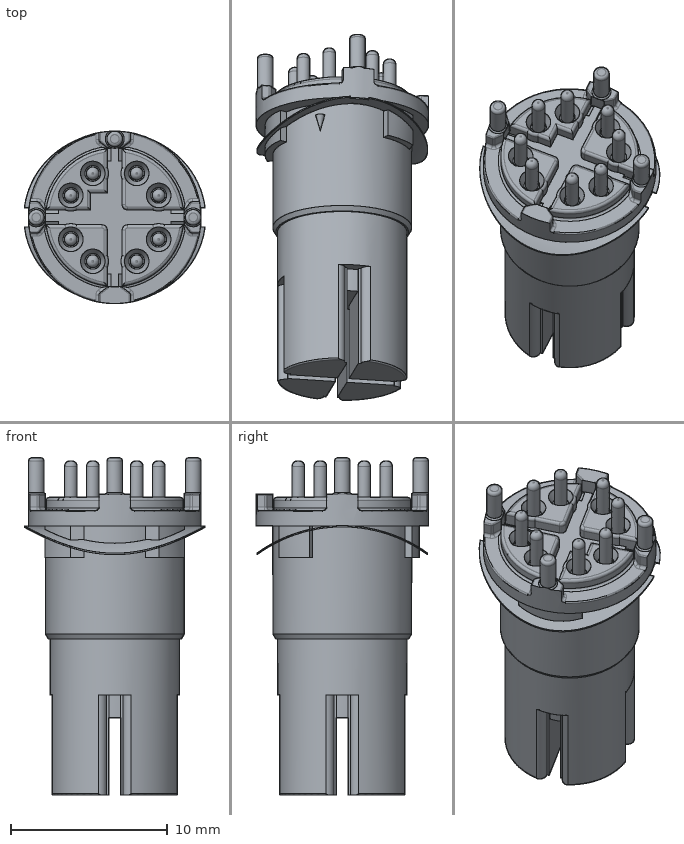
import cadquery as cq
import math

QUARTER_TURNS = (0, 90, 180, 270)
CODED_QUADRANT_ANGLE = 90

TOTAL_HEIGHT = 21.5
PIN_TIP_Z = 4.35
BOTTOM_Z = PIN_TIP_Z - TOTAL_HEIGHT

FLANGE_RADIUS = 5.5
FLANGE_THICKNESS = 1.0
FLANGE_EDGE_ROUND = 0.08
BOSS_RADIUS = 4.4
BOSS_TOP_Z = 1.83
BOSS_EDGE_ROUND = 0.2
BOSS_BASE_FILLET = 0.15

CHANNEL_HALF_WIDTH = 0.47
CHANNEL_CORNER_RADIUS = 0.35
CODING_NOTCH_REACH = 1.55
DRAIN_START_RADIUS = 3.6
DRAIN_INNER_OFFSET = 0.25
DRAIN_DEPTH = 0.18

CONTACT_NEAR = 1.4
CONTACT_FAR = 2.8
CONTACT_RADIUS = 0.41
CONTACT_TOP_Z = 4.15
CONTACT_ROUND = 0.36
RECESS_TOP_RADIUS = 0.78
RECESS_BOTTOM_RADIUS = 0.5
RECESS_DEPTH = 0.6
SLEEVE_RADIUS = 1.0

TAB_TOP_Z = 2.03
TAB_HALF_WIDTH = 1.0
TAB_NOSE_HALF_WIDTH = 0.45
TAB_NOSE_Y = 4.43
TAB_SHOULDER_Y = 4.85
TAB_BASE_FILLET = 0.2
TAB_SHOULDER_ROUND = 0.2
TAB_TOP_ROUND = 0.08
EDGE_MARGIN = 0.05
SOLDER_PIN_ANGLES = (0, 90, 180)
SOLDER_PIN_RADIUS = 0.5
SOLDER_PIN_OFFSET = FLANGE_RADIUS - SOLDER_PIN_RADIUS
SOLDER_PIN_ROUND = 0.22
SOLDER_COLLAR_RADIUS = 0.6
SOLDER_COLLAR_HEIGHT = 0.1

BODY_RADIUS = 4.43
BODY_CHAMFER_TOP_Z = -6.9
BODY_BOTTOM_Z = -7.21
BODY_CHAMFER_BOTTOM_RADIUS = 4.24
PLUG_RADIUS = 4.13
PLUG_EDGE_ROUND = 0.1

SLOT_TOP_Z = -10.77
CORE_BOTTOM_Z = -12.23
CORE_RADIUS = 3.25
SLOT_HALF_WIDTH = 0.37
SLOT_MOUTH_HALF_WIDTH = 1.05
SLOT_MOUTH_ROUND = 0.53

BLOCK_RADIUS = 4.92
BLOCK_HEIGHT = 2.02
BACK_BLOCK_HALF_ANGLE = 25.5
SIDE_BLOCK_START_ANGLE = 205.3
SIDE_BLOCK_FACE_INNER = (-1.97, -3.97)
SIDE_BLOCK_FACE_OUTER = (-2.83, -4.02)

WASHER_OUTER_RADIUS = 5.8
WASHER_HOLE_RADIUS = 4.5
WASHER_BEND_RADIUS = 9.3
WASHER_THICKNESS = 0.08
WASHER_OVERLAP = 0.02
WASHER_NOTCH_HALF_WIDTH = 0.6

BUMP_ANGLE = 150.4
BUMP_TOP_Z = -0.77
BUMP_TIP_Z = -1.8
BUMP_RADIUS = 0.3


def cylinder(radius, bottom, top, x=0.0, y=0.0):
    return cq.Workplane("XY", origin=(x, y, bottom)).circle(radius).extrude(top - bottom)


def box(x_range, y_range, z_range):
    size = [high - low for low, high in (x_range, y_range, z_range)]
    corner = (x_range[0], y_range[0], z_range[0])
    return cq.Workplane("XY").box(*size, centered=False).translate(corner)


def turned(shape, angle):
    return shape.rotate((0, 0, 0), (0, 0, 1), angle)


def polar(radius, angle):
    radians = math.radians(angle)
    return (radius * math.cos(radians), radius * math.sin(radians))


def make_tab():
    """Tab at the +Y rim on a piece of flange, with a filleted base and a nose tapering toward the boss."""
    half_outline = [
        (TAB_HALF_WIDTH, 2 * FLANGE_RADIUS),
        (TAB_HALF_WIDTH, TAB_SHOULDER_Y),
        (TAB_NOSE_HALF_WIDTH, TAB_NOSE_Y),
        (TAB_NOSE_HALF_WIDTH, 0),
    ]
    outline = half_outline + [(-x, y) for x, y in reversed(half_outline)]
    plate_half_width = TAB_HALF_WIDTH + TAB_BASE_FILLET + EDGE_MARGIN
    plate_width = (-plate_half_width, plate_half_width)
    plate = box(plate_width, (0, 2 * FLANGE_RADIUS), (0, FLANGE_THICKNESS))
    block = cq.Workplane("XY").polyline(outline).close().extrude(TAB_TOP_Z)
    shoulders = cq.selectors.BoxSelector(
        (-FLANGE_RADIUS, TAB_SHOULDER_Y - EDGE_MARGIN, 0),
        (FLANGE_RADIUS, TAB_SHOULDER_Y + EDGE_MARGIN, TAB_TOP_Z),
    )
    block = block.edges("|Z").edges(shoulders).fillet(TAB_SHOULDER_ROUND)
    block = block.faces(">Z").edges("not |X").fillet(TAB_TOP_ROUND)
    tab = plate.union(block)
    reach = TAB_HALF_WIDTH + EDGE_MARGIN
    base_edges = cq.selectors.BoxSelector(
        (-reach, EDGE_MARGIN, FLANGE_THICKNESS - EDGE_MARGIN),
        (reach, 2 * FLANGE_RADIUS - EDGE_MARGIN, FLANGE_THICKNESS + EDGE_MARGIN),
    )
    tab = tab.edges(base_edges).fillet(TAB_BASE_FILLET)
    rim = cylinder(FLANGE_RADIUS, 0, TAB_TOP_Z).cut(cylinder(TAB_NOSE_Y, 0, TAB_TOP_Z))
    return tab.intersect(rim)


def make_flange():
    flange = cylinder(FLANGE_RADIUS, 0, FLANGE_THICKNESS)
    flange = flange.faces(">Z").edges().fillet(FLANGE_EDGE_ROUND)
    for angle in QUARTER_TURNS:
        flange = flange.union(turned(make_tab(), angle))
    return flange


def make_quadrant_mask():
    """Plan shape of one quadrant (+X, +Y) between the channel arms, with the two contact sleeves."""
    reach = (CHANNEL_HALF_WIDTH, FLANGE_RADIUS)
    mask = box(reach, reach, (FLANGE_THICKNESS, BOSS_TOP_Z))
    mask = mask.edges("|Z and <X and <Y").fillet(CHANNEL_CORNER_RADIUS)
    for x, y in ((CONTACT_NEAR, CONTACT_FAR), (CONTACT_FAR, CONTACT_NEAR)):
        mask = mask.union(cylinder(SLEEVE_RADIUS, FLANGE_THICKNESS, BOSS_TOP_Z, x, y))
    return mask


def make_boss_base_fillet():
    """Ring with a concave outer side where the boss meets the flange."""
    outer_radius = BOSS_RADIUS + BOSS_BASE_FILLET
    top_z = FLANGE_THICKNESS + BOSS_BASE_FILLET
    mid_offset = BOSS_BASE_FILLET * math.sqrt(0.5)
    inner_radius = BOSS_RADIUS - BOSS_BASE_FILLET
    profile = (
        cq.Workplane("XZ")
        .moveTo(inner_radius, FLANGE_THICKNESS)
        .lineTo(outer_radius, FLANGE_THICKNESS)
        .threePointArc((outer_radius - mid_offset, top_z - mid_offset), (BOSS_RADIUS, top_z))
        .lineTo(inner_radius, top_z)
        .close()
    )
    return profile.revolve(360, (0, 0, 0), (0, 1, 0))


def make_quadrant(coded):
    mask = make_quadrant_mask()
    quadrant = mask.intersect(cylinder(BOSS_RADIUS, FLANGE_THICKNESS, BOSS_TOP_Z))
    if coded:
        notch = (0, CODING_NOTCH_REACH)
        quadrant = quadrant.cut(box(notch, notch, (FLANGE_THICKNESS, BOSS_TOP_Z)))
    quadrant = quadrant.faces(">Z").edges().fillet(BOSS_EDGE_ROUND)
    return quadrant.union(make_boss_base_fillet().intersect(mask))


def make_drain_groove():
    """Pair of grooves with a sloping inner side, along the outer end of the +X channel arm."""
    profile = [
        (DRAIN_INNER_OFFSET, FLANGE_THICKNESS),
        (CHANNEL_HALF_WIDTH, FLANGE_THICKNESS),
        (CHANNEL_HALF_WIDTH, FLANGE_THICKNESS - DRAIN_DEPTH),
    ]
    start = cq.Workplane("YZ", origin=(DRAIN_START_RADIUS, 0, 0))
    groove = start.polyline(profile).close().extrude(BOSS_RADIUS - DRAIN_START_RADIUS)
    return groove.union(groove.mirror("XZ"))


def contact_positions():
    for x_sign in (-1, 1):
        for y_sign in (-1, 1):
            yield (x_sign * CONTACT_NEAR, y_sign * CONTACT_FAR)
            yield (x_sign * CONTACT_FAR, y_sign * CONTACT_NEAR)


def make_recess(x, y):
    recess = cq.Workplane("XY", origin=(x, y, BOSS_TOP_Z)).circle(RECESS_TOP_RADIUS)
    return recess.workplane(offset=-RECESS_DEPTH).circle(RECESS_BOTTOM_RADIUS).loft()


def make_contact(x, y):
    pin = cylinder(CONTACT_RADIUS, 0, CONTACT_TOP_Z, x, y)
    return pin.faces(">Z").edges().fillet(CONTACT_ROUND)


def make_solder_pin(angle):
    x, y = polar(SOLDER_PIN_OFFSET, angle)
    pin = cylinder(SOLDER_PIN_RADIUS, 0, PIN_TIP_Z, x, y)
    pin = pin.faces(">Z").edges().fillet(SOLDER_PIN_ROUND)
    collar = cq.Workplane("XY", origin=(x, y, TAB_TOP_Z)).circle(SOLDER_COLLAR_RADIUS)
    collar = collar.workplane(offset=SOLDER_COLLAR_HEIGHT).circle(SOLDER_PIN_RADIUS).loft()
    collar = collar.intersect(cylinder(FLANGE_RADIUS, 0, PIN_TIP_Z))
    return pin.union(collar)


def make_body():
    profile = [
        (0, 0),
        (BODY_RADIUS, 0),
        (BODY_RADIUS, BODY_CHAMFER_TOP_Z),
        (BODY_CHAMFER_BOTTOM_RADIUS, BODY_BOTTOM_Z),
        (PLUG_RADIUS, BODY_BOTTOM_Z),
        (PLUG_RADIUS, BOTTOM_Z),
        (0, BOTTOM_Z),
    ]
    body = cq.Workplane("XZ").polyline(profile).close().revolve(360, (0, 0, 0), (0, 1, 0))
    return body.faces("<Z").edges().fillet(PLUG_EDGE_ROUND)


def make_slot_cutter():
    """Slot cutter at +Y: narrow passage, stepped out to a mouth with rounded sides."""
    mouth_y = math.sqrt(PLUG_RADIUS**2 - SLOT_MOUTH_HALF_WIDTH**2)
    step_y = mouth_y - SLOT_MOUTH_ROUND
    step_x = SLOT_MOUTH_HALF_WIDTH - SLOT_MOUTH_ROUND
    arc_drop = SLOT_MOUTH_ROUND * math.sqrt(0.5)
    arc_x = SLOT_MOUTH_HALF_WIDTH - arc_drop
    arc_y = step_y + arc_drop
    outline = (
        cq.Workplane("XY", origin=(0, 0, BOTTOM_Z))
        .moveTo(-SLOT_HALF_WIDTH, 0)
        .lineTo(-SLOT_HALF_WIDTH, step_y)
        .lineTo(-step_x, step_y)
        .threePointArc((-arc_x, arc_y), (-SLOT_MOUTH_HALF_WIDTH, mouth_y))
        .lineTo(-SLOT_MOUTH_HALF_WIDTH, FLANGE_RADIUS)
        .lineTo(SLOT_MOUTH_HALF_WIDTH, FLANGE_RADIUS)
        .lineTo(SLOT_MOUTH_HALF_WIDTH, mouth_y)
        .threePointArc((arc_x, arc_y), (step_x, step_y))
        .lineTo(SLOT_HALF_WIDTH, step_y)
        .lineTo(SLOT_HALF_WIDTH, 0)
        .close()
    )
    core = cylinder(CORE_RADIUS, CORE_BOTTOM_Z, SLOT_TOP_Z)
    return outline.extrude(SLOT_TOP_Z - BOTTOM_Z).cut(core)


def make_block(points):
    """Block under the flange: the given plan outline from the axis, trimmed to the block radius."""
    block = cq.Workplane("XY").polyline([(0, 0)] + points).close().extrude(-BLOCK_HEIGHT)
    return block.intersect(cylinder(BLOCK_RADIUS, -BLOCK_HEIGHT, 0))


def make_blocks():
    reach = 2 * BLOCK_RADIUS
    back = make_block([
        polar(reach, 90 - BACK_BLOCK_HALF_ANGLE),
        polar(reach, 90 + BACK_BLOCK_HALF_ANGLE),
    ])
    side = make_block([
        polar(reach, SIDE_BLOCK_START_ANGLE),
        (-BLOCK_RADIUS, -reach),
        SIDE_BLOCK_FACE_OUTER,
        SIDE_BLOCK_FACE_INNER,
    ])
    return back.union(side).union(side.mirror("YZ"))


def make_washer():
    """Ring bent about an axis parallel to X, touching the flange along its crest."""
    def bent_half_length(flat_radius):
        return WASHER_BEND_RADIUS * math.sin(flat_radius / WASHER_BEND_RADIUS)

    ring = (
        cq.Workplane("XY", origin=(0, 0, -WASHER_BEND_RADIUS))
        .ellipse(WASHER_OUTER_RADIUS, bent_half_length(WASHER_OUTER_RADIUS))
        .ellipse(WASHER_HOLE_RADIUS, bent_half_length(WASHER_HOLE_RADIUS))
        .extrude(2 * WASHER_BEND_RADIUS)
    )
    center_z = WASHER_OVERLAP - WASHER_BEND_RADIUS
    sheet = (
        cq.Workplane("YZ", origin=(-WASHER_OUTER_RADIUS, 0, 0))
        .center(0, center_z)
        .circle(WASHER_BEND_RADIUS)
        .circle(WASHER_BEND_RADIUS - WASHER_THICKNESS)
        .extrude(2 * WASHER_OUTER_RADIUS)
    )
    washer = ring.intersect(sheet)
    notch_y = (-WASHER_NOTCH_HALF_WIDTH, WASHER_NOTCH_HALF_WIDTH)
    notch_z = (-WASHER_BEND_RADIUS, WASHER_BEND_RADIUS)
    notch = box((FLANGE_RADIUS, 2 * FLANGE_RADIUS), notch_y, notch_z)
    return washer.cut(notch).cut(notch.mirror("YZ"))


def make_bump():
    x, y = polar(BODY_RADIUS, BUMP_ANGLE)
    height = BUMP_TOP_Z - BUMP_TIP_Z
    profile = cq.Workplane("XZ").polyline([(0, 0), (BUMP_RADIUS, height), (0, height)]).close()
    return profile.revolve(360, (0, 0, 0), (0, 1, 0)).translate((x, y, BUMP_TIP_Z))


body = make_body()
for slot_angle in QUARTER_TURNS:
    body = body.cut(turned(make_slot_cutter(), slot_angle))

head = make_flange()
for arm_angle in QUARTER_TURNS:
    head = head.union(turned(make_quadrant(coded=arm_angle == CODED_QUADRANT_ANGLE), arm_angle))
    head = head.cut(turned(make_drain_groove(), arm_angle))

for contact_x, contact_y in contact_positions():
    head = head.cut(make_recess(contact_x, contact_y))
    head = head.union(make_contact(contact_x, contact_y))

for pin_angle in SOLDER_PIN_ANGLES:
    head = head.union(make_solder_pin(pin_angle))

result = head.union(body).union(make_blocks()).union(make_bump()).union(make_washer())